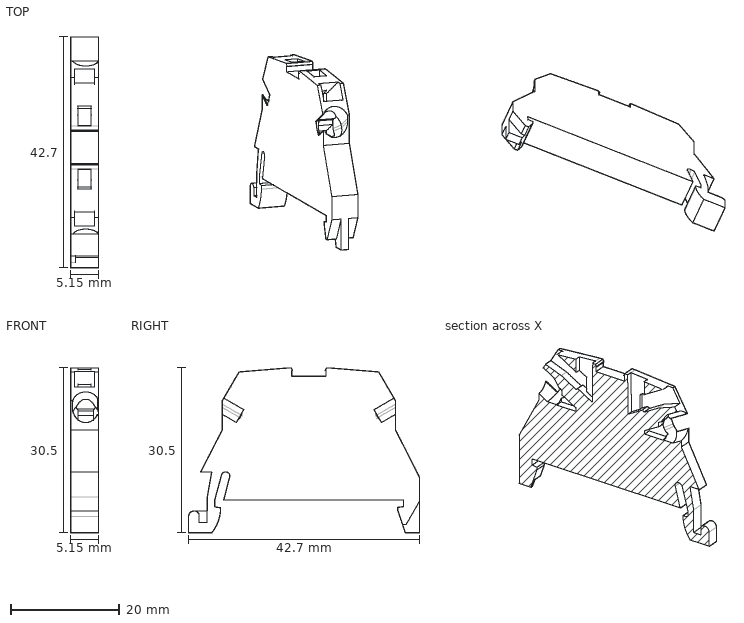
import cadquery as cq
import math

THICKNESS = 5.15
SIDE_X = THICKNESS / 2
OVERCUT = 2.15

WALL_Y = 16.0
WALL_BOTTOM_Z = 19.05
SHOULDER_BOTTOM_Z = 24.42
SHOULDER_TOP_Y = 12.9
SHOULDER_TOP_Z = 29.75
CREST_Z = 30.5
RAMP_END_Y = 3.95
CREST_END_Y = 3.25
LIP_Y = 3.0
LIP_Z = 29.98
RECESS_Y = 3.15
RECESS_Z = 28.95

LENGTH = 42.7
REAR_Y = 20.45
FRONT_Y = REAR_Y - LENGTH
BASE_Z = 6.05
REAR_SKIRT_Z = 10.3
SKIRT_TIP_Y = -20.03
SKIRT_BOTTOM_Z = 11.25

ARM_ROOT_Y = -17.98
ARM_OUTER_Y = -18.8
ARM_BEND_Z = 6.65
ARM_INNER_Y = -17.4
ARM_INNER_Z = 4.83
HOOK_TIP_Y = -16.3
HOOK_TOP_Z = 4.65
HOOK_ARC_TOP_Z = 3.95
HOOK_ARC_MIDDLE = (-16.82, 1.9)
HOOK_BOTTOM_Y = -17.95

FOOT_NECK_Y = 17.45
FOOT_NECK_Z = 4.85
FOOT_TIP_Y = 16.4
FOOT_TIP_TOP_Z = 4.75
FOOT_TIP_BOTTOM_Z = 4.2
FOOT_BOTTOM_Y = 17.8

FOOT_TOP_Z = 4.05
BEAD_RADIUS = 1.02
BEAD_Y = FRONT_Y + BEAD_RADIUS
BEAD_Z = FOOT_TOP_Z - BEAD_RADIUS
BEAD_DIAGONAL = BEAD_RADIUS * math.sqrt(0.5)
GROOVE_WALL_Y = -20.3
GROOVE_FLOOR_Z = 1.92
FOOT_STRIP_WIDTH = 0.95

GAP_BOTTOM_Y = -15.75
GAP_TOP_Y = -14.45
GAP_TOP_OUTER_Y = -15.95
GAP_CORNER_RADIUS = 0.7

RELIEF_DEPTH = 1.85
RELIEF_HIGH_Z = 5.9
RELIEF_LOW_Y = 17.98
RELIEF_LOW_Z = 1.6

ENTRY_ANGLE = 30.0
ENTRY_SLOPE = math.tan(math.radians(ENTRY_ANGLE))
POCKET_WIDTH = 3.75
POCKET_FLOOR_SLOPE = math.tan(math.radians(20.0))
POCKET_END_SLOPE = math.tan(math.radians(40.0))
POCKET_TOP_Y = 11.9
POCKET_TOP_Z = 29.85
POCKET_MOUTH_Y = 14.48
POCKET_MOUTH_Z = 27.0
FLOOR_FOLD_Y = 10.95
POCKET_END_Y = 5.98
SLOT_WIDTH = 2.45
SLOT_OUTER_Y = 7.65
SLOT_INNER_Y = 3.95
SLOT_LEAN = math.tan(math.radians(1.0))
RIDGE_Y = 7.25
WIRE_HOLE_RADIUS = 2.45
WIRE_HOLE_STRETCH = 0.5
WIRE_HOLE_X = 0.2
WIRE_HOLE_OFFSET = 0.8
WIRE_HOLE_DEPTH = 4.25
CONE_HALF_ANGLE = 30.0
SIDE_OPENING_X = 2.35
SIDE_OPENING_HEIGHT = 2.75
ROOF_HIGH_Y = 12.72
ROOF_HIGH_Z = 24.7
ROOF_LOW_Y = 11.5
ROOF_LOW_Z = 22.9
CHANNEL_WIDTH = 2.8
CHANNEL_STEP_TOP_Z = 22.55
CHANNEL_STEP_BOTTOM_Z = 21.65
CHANNEL_END_Z = 19.85
CHANNEL_FLOOR_Z = 19.2
CHANNEL_OUTER_Y = 11.95


def prism(points, width, center_x=0.0):
    """Extrude a closed (Y, Z) outline symmetrically about X = center_x."""
    outline = cq.Workplane("YZ", origin=(center_x, 0, 0)).polyline(points).close()
    return outline.extrude(width / 2, both=True)


def make_body():
    """Side outline of the housing, latch arm and feet, extruded through the thickness."""
    half_top = [
        (WALL_Y, WALL_BOTTOM_Z),
        (WALL_Y, SHOULDER_BOTTOM_Z),
        (SHOULDER_TOP_Y, SHOULDER_TOP_Z),
        (RAMP_END_Y, CREST_Z),
        (CREST_END_Y, CREST_Z),
        (LIP_Y, LIP_Z),
        (RECESS_Y, LIP_Z),
        (RECESS_Y, RECESS_Z),
    ]
    other_half = [(-y, z) for y, z in reversed(half_top)]
    outline = cq.Workplane("YZ", origin=(-SIDE_X, 0, 0)).moveTo(REAR_Y, REAR_SKIRT_Z)
    for point in half_top + other_half:
        outline = outline.lineTo(*point)
    outline = (
        outline
        .lineTo(SKIRT_TIP_Y, SKIRT_BOTTOM_Z)
        .lineTo(ARM_ROOT_Y, SKIRT_BOTTOM_Z)
        .lineTo(ARM_OUTER_Y, ARM_BEND_Z)
        .lineTo(ARM_OUTER_Y, FOOT_TOP_Z)
        .lineTo(BEAD_Y, FOOT_TOP_Z)
        .threePointArc((BEAD_Y - BEAD_DIAGONAL, BEAD_Z + BEAD_DIAGONAL), (FRONT_Y, BEAD_Z))
        .lineTo(FRONT_Y, 0)
        .lineTo(HOOK_BOTTOM_Y, 0)
        .threePointArc(HOOK_ARC_MIDDLE, (HOOK_TIP_Y, HOOK_ARC_TOP_Z))
        .lineTo(HOOK_TIP_Y, HOOK_TOP_Z)
        .lineTo(ARM_INNER_Y, ARM_INNER_Z)
        .lineTo(ARM_INNER_Y, BASE_Z)
        .lineTo(FOOT_NECK_Y, BASE_Z)
        .lineTo(FOOT_NECK_Y, FOOT_NECK_Z)
        .lineTo(FOOT_TIP_Y, FOOT_TIP_TOP_Z)
        .lineTo(FOOT_TIP_Y, FOOT_TIP_BOTTOM_Z)
        .lineTo(FOOT_BOTTOM_Y, 0)
        .lineTo(REAR_Y, 0)
        .close()
    )
    return outline.extrude(THICKNESS)


def make_gap():
    """Leaning gap with a rounded top that frees the latch arm."""
    points = [
        (GAP_BOTTOM_Y, BASE_Z),
        (GAP_TOP_Y, SKIRT_BOTTOM_Z),
        (GAP_TOP_OUTER_Y, SKIRT_BOTTOM_Z),
        (ARM_INNER_Y, BASE_Z),
    ]
    return prism(points, THICKNESS + OVERCUT).edges("|X and >Z").fillet(GAP_CORNER_RADIUS)


def make_groove():
    """Groove behind the bead; a strip of the foot at the -X side stays at full height."""
    wall_offset = GROOVE_WALL_Y - BEAD_Y
    wall_top_z = BEAD_Z + math.sqrt(BEAD_RADIUS**2 - wall_offset**2)
    middle_offset = wall_offset / 2
    middle_z = BEAD_Z + math.sqrt(BEAD_RADIUS**2 - middle_offset**2)
    profile = (
        cq.Workplane("YZ", origin=(-SIDE_X + FOOT_STRIP_WIDTH, 0, 0))
        .moveTo(BEAD_Y, FOOT_TOP_Z)
        .threePointArc((BEAD_Y + middle_offset, middle_z), (GROOVE_WALL_Y, wall_top_z))
        .lineTo(GROOVE_WALL_Y, GROOVE_FLOOR_Z)
        .lineTo(ARM_OUTER_Y, GROOVE_FLOOR_Z)
        .lineTo(ARM_OUTER_Y, FOOT_TOP_Z)
        .close()
    )
    return profile.extrude(THICKNESS - FOOT_STRIP_WIDTH)


def make_relief():
    """Matching cuts that leave a narrow web at the bottom of the rear foot."""
    points = [
        (REAR_Y, RELIEF_HIGH_Z),
        (RELIEF_LOW_Y, RELIEF_LOW_Z),
        (FOOT_TIP_Y, RELIEF_LOW_Z),
        (FOOT_TIP_Y, 0),
        (REAR_Y, 0),
    ]
    left = prism(points, 2 * RELIEF_DEPTH, -SIDE_X)
    return left.union(left.mirror("YZ"))


def make_tool_pocket():
    """Sloping pocket through the shoulder, met by a narrower slot from the top that ends in a ridge."""
    fold_z = POCKET_MOUTH_Z - (POCKET_MOUTH_Y - FLOOR_FOLD_Y) * POCKET_FLOOR_SLOPE
    end_z = fold_z - (FLOOR_FOLD_Y - SLOT_OUTER_Y) * ENTRY_SLOPE
    ridge_z = end_z + (SLOT_OUTER_Y - RIDGE_Y) * POCKET_END_SLOPE
    pocket = [
        (POCKET_TOP_Y, POCKET_TOP_Z),
        (POCKET_TOP_Y + OVERCUT, POCKET_TOP_Z + OVERCUT * ENTRY_SLOPE),
        (POCKET_MOUTH_Y + OVERCUT, POCKET_MOUTH_Z + OVERCUT * POCKET_FLOOR_SLOPE),
        (POCKET_MOUTH_Y, POCKET_MOUTH_Z),
        (FLOOR_FOLD_Y, fold_z),
        (SLOT_OUTER_Y, end_z),
        (RIDGE_Y, ridge_z),
        (POCKET_END_Y, ridge_z - (RIDGE_Y - POCKET_END_Y) * ENTRY_SLOPE),
        (POCKET_END_Y, POCKET_TOP_Z - (POCKET_TOP_Y - POCKET_END_Y) * ENTRY_SLOPE),
    ]
    depth = CREST_Z - ridge_z
    slot_end_y = SLOT_INNER_Y + depth * SLOT_LEAN
    slot = [
        (SLOT_OUTER_Y, CREST_Z),
        (SLOT_INNER_Y, CREST_Z),
        (slot_end_y, ridge_z - (RIDGE_Y - slot_end_y) * ENTRY_SLOPE),
        (RIDGE_Y, ridge_z),
        (SLOT_OUTER_Y, end_z),
    ]
    return prism(pocket, POCKET_WIDTH).union(prism(slot, SLOT_WIDTH))


def entry_workplane(depth):
    """Workplane square to the wire entry axis, at a depth below the lower shoulder corner."""
    angle = math.radians(ENTRY_ANGLE)
    inward = cq.Vector(0, -math.cos(angle), -math.sin(angle))
    down_shoulder = cq.Vector(0, math.sin(angle), -math.cos(angle))
    corner = cq.Vector(WIRE_HOLE_X, WALL_Y, SHOULDER_BOTTOM_Z)
    origin = corner + down_shoulder * WIRE_HOLE_OFFSET + inward * depth
    return cq.Workplane(cq.Plane(origin, xDir=(1, 0, 0), normal=inward))


def make_wire_entry():
    """Sloping oblong hole with a conical end, opening through the +X side and into a stepped channel."""
    hole_width = 2 * WIRE_HOLE_RADIUS
    hole_height = hole_width + WIRE_HOLE_STRETCH
    straight_length = WIRE_HOLE_DEPTH + OVERCUT
    cone_length = (hole_width - CHANNEL_WIDTH) / 2 / math.tan(math.radians(CONE_HALF_ANGLE))
    straight = entry_workplane(-OVERCUT).slot2D(hole_height, hole_width, 90).extrude(straight_length)
    cone_base = entry_workplane(WIRE_HOLE_DEPTH).slot2D(hole_height, hole_width, 90)
    hole = straight.union(cone_base.extrude(cone_length, taper=CONE_HALF_ANGLE))

    step_y = ROOF_LOW_Y - (ROOF_LOW_Z - CHANNEL_STEP_TOP_Z) / ENTRY_SLOPE
    end_y = step_y - (CHANNEL_STEP_BOTTOM_Z - CHANNEL_END_Z) / ENTRY_SLOPE
    ceiling = [
        (ROOF_LOW_Y, ROOF_LOW_Z),
        (step_y, CHANNEL_STEP_TOP_Z),
        (step_y, CHANNEL_STEP_BOTTOM_Z),
        (end_y, CHANNEL_END_Z),
    ]
    roof = [(ROOF_HIGH_Y, SHOULDER_TOP_Z), (ROOF_HIGH_Y, ROOF_HIGH_Z)] + ceiling + [(end_y, SHOULDER_TOP_Z)]
    hole = hole.cut(prism(roof, 2 * THICKNESS))
    channel = ceiling + [
        (end_y, CHANNEL_FLOOR_Z),
        (CHANNEL_OUTER_Y, CHANNEL_FLOOR_Z),
        (CHANNEL_OUTER_Y, ROOF_LOW_Z),
    ]

    opening_width = SIDE_X + OVERCUT - SIDE_OPENING_X
    opening_center = SIDE_OPENING_X + opening_width / 2 - WIRE_HOLE_X
    opening = (
        entry_workplane(-OVERCUT)
        .center(opening_center, 0)
        .rect(opening_width, SIDE_OPENING_HEIGHT)
        .extrude(straight_length)
    )
    return hole.union(prism(channel, CHANNEL_WIDTH, WIRE_HOLE_X)).union(opening)


result = make_body().cut(make_gap()).cut(make_groove()).cut(make_relief())
for entry in (make_tool_pocket(), make_wire_entry()):
    result = result.cut(entry).cut(entry.mirror("XZ"))